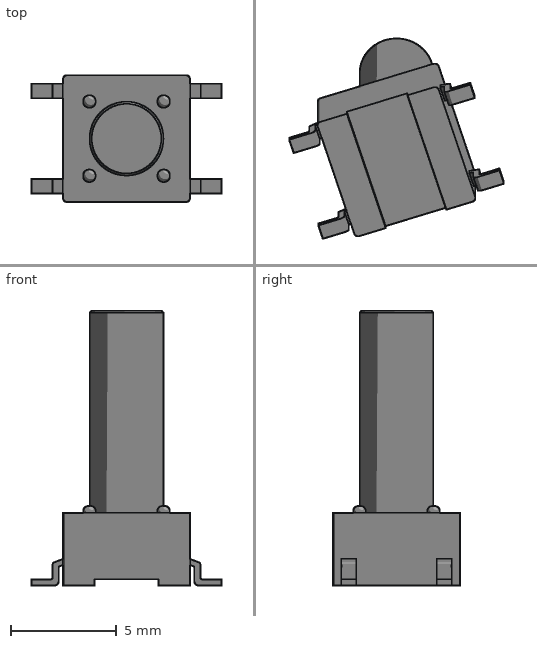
import cadquery as cq

body_width = 6.0
body_height = 3.45
body_corner_radius = 0.2
channel_width = 3.0
channel_depth = 0.3

total_height = 13
plunger_diameter = 3.5
plunger_chamfer = 0.1

rivet_diameter = 0.6
rivet_height = 0.32
rivet_round = 0.25
rivet_offset = 1.75

lead_span = 9.0
lead_thickness = 0.3
lead_width = 0.7
lead_offset = 2.25
foot_length = 1.0
shoulder_height = 1.08
shoulder_slope = 0.38
lead_embed = 0.2
foot_inner_radius = 0.09
foot_outer_radius = 0.22
shoulder_radius = 0.13


def make_body():
    """Square housing with rounded corners and a channel along Y underneath."""
    block = (
        cq.Workplane("XY")
        .rect(body_width, body_width)
        .extrude(body_height)
        .edges("|Z")
        .fillet(body_corner_radius)
    )
    channel = cq.Workplane("XY").rect(channel_width, body_width).extrude(channel_depth)
    return block.cut(channel)


def make_plunger():
    return (
        cq.Workplane("XY", origin=(0, 0, body_height))
        .circle(plunger_diameter / 2)
        .extrude(total_height - body_height)
        .faces(">Z")
        .chamfer(plunger_chamfer)
    )


def make_rivets():
    """Four domed rivet heads, each with a small flat on top."""
    return (
        cq.Workplane("XY", origin=(0, 0, body_height))
        .rect(2 * rivet_offset, 2 * rivet_offset, forConstruction=True)
        .vertices()
        .circle(rivet_diameter / 2)
        .extrude(rivet_height)
        .faces(">Z")
        .edges()
        .fillet(rivet_round)
    )


def make_lead():
    """One lead on the -X side, centred on Y: flat foot, riser and sloped shoulder."""
    tip_x = -lead_span / 2
    riser_outer_x = tip_x + foot_length
    riser_inner_x = riser_outer_x + lead_thickness
    end_x = -body_width / 2 + lead_embed
    end_top_z = shoulder_height + shoulder_slope * (end_x - riser_outer_x)
    end_bottom_z = end_top_z - lead_thickness
    inner_shoulder_z = end_bottom_z - shoulder_slope * (end_x - riser_inner_x)
    profile = [
        (tip_x, 0),
        (riser_inner_x, 0),
        (riser_inner_x, inner_shoulder_z),
        (end_x, end_bottom_z),
        (end_x, end_top_z),
        (riser_outer_x, shoulder_height),
        (riser_outer_x, lead_thickness),
        (tip_x, lead_thickness),
    ]
    lead = cq.Workplane("XZ").polyline(profile).close().extrude(lead_width / 2, both=True)
    bends = [
        (riser_inner_x, 0, foot_outer_radius),
        (riser_outer_x, lead_thickness, foot_inner_radius),
        (riser_outer_x, shoulder_height, shoulder_radius),
    ]
    for x, z, radius in bends:
        lead = lead.edges(cq.NearestToPointSelector((x, 0, z))).fillet(radius)
    return lead


result = make_body().union(make_plunger()).union(make_rivets())
left_lead = make_lead()
for lead in (left_lead, left_lead.mirror("YZ")):
    for y in (-lead_offset, lead_offset):
        result = result.union(lead.translate((0, y, 0)))